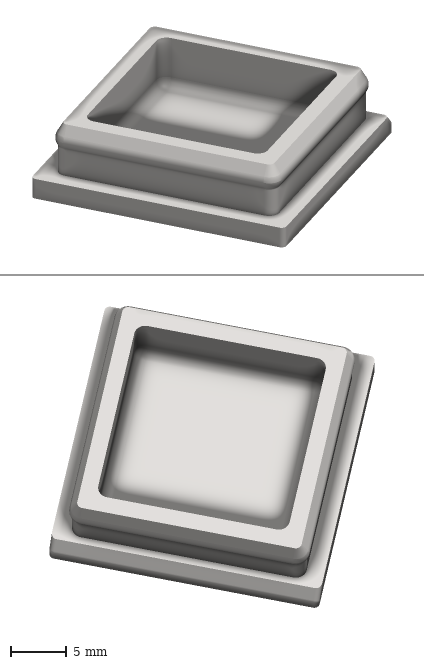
import cadquery as cq
import math

flange_side = 25.0
flange_height = 2.0
flange_edge_radius = 0.5
bevel_size = 1.0

total_height = 7.0
plug_half = 10.85
plug_corner_radius = 1.0
wall_thickness = 2.0

bead_half = 11.1
bead_height = 5.45
bead_radius = 1.1
bead_root_radius = 0.3
taper_angle = math.radians(30)

pocket_floor = 2.0
pocket_half = plug_half - wall_thickness
pocket_radius = 1.0


def make_flange():
    """Square plate with a bevelled +Y top edge and rounded side edges."""
    plate = cq.Workplane("XY").box(flange_side, flange_side, flange_height, centered=(True, True, False))
    plate = plate.faces(">Y").edges(">Z").chamfer(bevel_size)
    vertical = cq.selectors.ParallelDirSelector(cq.Vector(0, 0, 1))
    sloping = cq.selectors.ParallelDirSelector(cq.Vector(0, 1, -1))
    corner_edges = plate.edges(vertical + sloping)
    bevel_lower_edge = plate.faces(">Y").edges(">Z")
    return corner_edges.add(bevel_lower_edge).fillet(flange_edge_radius)


def make_side_profile(inner_x):
    """Section of the plug side in XZ, from inner_x out to the bead and taper."""
    bead_center = bead_half - bead_radius
    root_center = plug_half + bead_root_radius
    center_distance = bead_radius + bead_root_radius
    root_angle = math.acos((root_center - bead_center) / center_distance)
    root_height = bead_height - center_distance * math.sin(root_angle)

    def on_bead(angle):
        x = bead_center + bead_radius * math.cos(angle)
        z = bead_height + bead_radius * math.sin(angle)
        return (x, z)

    def on_root(angle):
        x = root_center - bead_root_radius * math.cos(angle)
        z = root_height + bead_root_radius * math.sin(angle)
        return (x, z)

    taper_start = on_bead(taper_angle)
    top_half = taper_start[0] - (total_height - taper_start[1]) * math.tan(taper_angle)
    return (
        cq.Workplane("XZ")
        .moveTo(inner_x, flange_height)
        .lineTo(plug_half, flange_height)
        .lineTo(plug_half, root_height)
        .threePointArc(on_root(root_angle / 2), on_root(root_angle))
        .threePointArc(on_bead(-root_angle / 2), on_bead(0))
        .threePointArc(on_bead(taper_angle / 2), taper_start)
        .lineTo(top_half, total_height)
        .lineTo(inner_x, total_height)
        .close()
    )


def make_plug():
    """Solid plug: a square core with four straight sides and four revolved corners."""
    core_half = plug_half - plug_corner_radius
    core_plane = cq.Workplane("XY").workplane(offset=flange_height)
    plug = core_plane.rect(2 * core_half, 2 * core_half).extrude(total_height - flange_height)
    side = make_side_profile(core_half).extrude(core_half, both=True)
    corner = make_side_profile(core_half).revolve(90, (core_half, 0), (core_half, 1))
    corner = corner.translate((0, core_half, 0))
    for quarter_turn in range(4):
        angle = 90 * quarter_turn
        plug = plug.union(side.rotate((0, 0, 0), (0, 0, 1), angle))
        plug = plug.union(corner.rotate((0, 0, 0), (0, 0, 1), angle))
    return plug


def make_pocket():
    """Cutter for the open-topped pocket with a rounded floor edge."""
    return (
        cq.Workplane("XY")
        .workplane(offset=pocket_floor)
        .rect(2 * pocket_half, 2 * pocket_half)
        .extrude(total_height - pocket_floor)
        .edges("|Z")
        .fillet(pocket_radius)
        .faces("<Z")
        .edges()
        .fillet(pocket_radius)
    )


result = make_flange().union(make_plug()).cut(make_pocket())